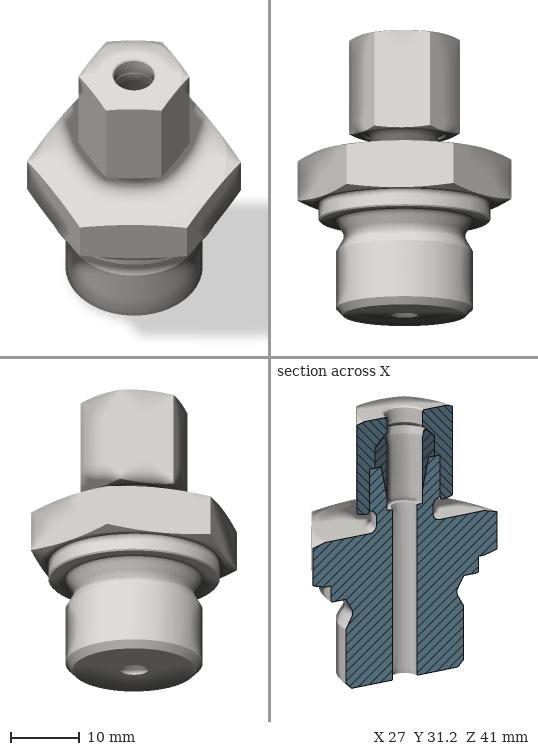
import cadquery as cq
import math


TOTAL_HEIGHT = 41.0
BODY_HEX_BOTTOM = 16.52
BODY_HEX_TOP = 23.5
NUT_BOTTOM = 26.53
BODY_TOP = 33.5

HEX_SIDES = 6
CORNER_TURN = 180 / HEX_SIDES
BODY_HEX_FLATS = 27.0
NUT_HEX_FLATS = 14.02
HEX_CHAMFER_ANGLE = 15.0
BODY_FACE_DIAMETER = 26.98
NUT_FACE_DIAMETER = 13.78

THREAD_DIAMETER = 20.0
THREAD_CHAMFER = 1.02
COLLAR_DIAMETER = 25.0
COLLAR_BOTTOM = 14.0
COLLAR_CHAMFER = 0.2
GROOVE_WIDTH = 4.65
GROOVE_FLANK_ANGLE = 30.0
GROOVE_RADIUS = 1.25

STUB_DIAMETER = 12.0
NECK_DIAMETER = 9.7
NECK_FILLET = 1.0
NECK_TOP = 26.9

BORE_DIAMETER = 4.0
TUBE_DIAMETER = 6.0
TUBE_SOCKET_DEPTH = 6.95
TUBE_ENTRY_CHAMFER = 0.2

SEAT_MOUTH_DIAMETER = 8.0
SEAT_HALF_ANGLE = 12.0
RING_DIAMETER = 10.0
RING_TOP = 37.9
RING_MOUTH_DIAMETER = 6.48
RING_TAPER_DEPTH = 1.02
NUT_BORE_BOTTOM = 38.55

thread_r = THREAD_DIAMETER / 2
collar_r = COLLAR_DIAMETER / 2
neck_r = NECK_DIAMETER / 2
stub_r = STUB_DIAMETER / 2
bore_r = BORE_DIAMETER / 2
tube_r = TUBE_DIAMETER / 2
ring_r = RING_DIAMETER / 2
ring_mouth_r = RING_MOUTH_DIAMETER / 2
seat_mouth_r = SEAT_MOUTH_DIAMETER / 2

stub_chamfer_top = NECK_TOP + stub_r - neck_r - NECK_FILLET

seat_bottom = BODY_TOP - (seat_mouth_r - tube_r) / math.tan(math.radians(SEAT_HALF_ANGLE))
socket_bottom = BODY_TOP - TUBE_SOCKET_DEPTH

shoulder_bottom = NUT_BORE_BOTTOM - (ring_r - tube_r)
ring_top_r = tube_r + NUT_BORE_BOTTOM - RING_TOP


def revolve_profile(profile):
    """Turn a closed (radius, height) profile about the Z axis."""
    return profile.close().revolve(360, (0, 0, 0), (0, 1, 0))


def chamfered_hex(flats, face_diameter, bottom, top):
    """Hexagonal prism whose corners are turned off by a cone at both ends."""
    corner_r = flats / math.sqrt(3)
    face_r = face_diameter / 2
    drop = (corner_r - face_r) * math.tan(math.radians(HEX_CHAMFER_ANGLE))
    prism = (
        cq.Workplane("XY", origin=(0, 0, bottom))
        .polygon(HEX_SIDES, 2 * corner_r)
        .extrude(top - bottom)
        .rotate((0, 0, 0), (0, 0, 1), CORNER_TURN)
    )
    envelope = revolve_profile(
        cq.Workplane("XZ")
        .moveTo(0, bottom)
        .lineTo(face_r, bottom)
        .lineTo(corner_r, bottom + drop)
        .lineTo(corner_r, top - drop)
        .lineTo(face_r, top)
        .lineTo(0, top)
    )
    return prism.intersect(envelope)


def make_screw_end():
    """Threaded end, undercut groove and sealing collar below the body hexagon."""
    flank = math.radians(GROOVE_FLANK_ANGLE)
    arc_half_height = GROOVE_RADIUS * math.sin(flank)
    flank_height = GROOVE_WIDTH / 2 - arc_half_height
    arc_end_r = thread_r - flank_height * math.tan(flank)
    groove_r = arc_end_r - GROOVE_RADIUS * (1 - math.cos(flank))
    groove_z = COLLAR_BOTTOM - GROOVE_WIDTH / 2
    return revolve_profile(
        cq.Workplane("XZ")
        .moveTo(0, 0)
        .lineTo(thread_r - THREAD_CHAMFER, 0)
        .lineTo(thread_r, THREAD_CHAMFER)
        .lineTo(thread_r, COLLAR_BOTTOM - GROOVE_WIDTH)
        .lineTo(arc_end_r, groove_z - arc_half_height)
        .threePointArc((groove_r, groove_z), (arc_end_r, groove_z + arc_half_height))
        .lineTo(thread_r, COLLAR_BOTTOM)
        .lineTo(collar_r - COLLAR_CHAMFER, COLLAR_BOTTOM)
        .lineTo(collar_r, COLLAR_BOTTOM + COLLAR_CHAMFER)
        .lineTo(collar_r, BODY_HEX_BOTTOM)
        .lineTo(0, BODY_HEX_BOTTOM)
    )


def make_stub():
    """Upper stub with a neck filleted at both ends, which runs up into the nut."""
    return revolve_profile(
        cq.Workplane("XZ")
        .moveTo(0, BODY_HEX_TOP)
        .lineTo(neck_r + NECK_FILLET, BODY_HEX_TOP)
        .radiusArc((neck_r, BODY_HEX_TOP + NECK_FILLET), NECK_FILLET)
        .lineTo(neck_r, NECK_TOP - NECK_FILLET)
        .radiusArc((neck_r + NECK_FILLET, NECK_TOP), NECK_FILLET)
        .lineTo(stub_r, stub_chamfer_top)
        .lineTo(stub_r, BODY_TOP)
        .lineTo(0, BODY_TOP)
    )


def make_body_passage():
    """Through bore, tube socket and conical ring seat."""
    return revolve_profile(
        cq.Workplane("XZ")
        .moveTo(0, 0)
        .lineTo(bore_r, 0)
        .lineTo(bore_r, socket_bottom)
        .lineTo(tube_r, socket_bottom)
        .lineTo(tube_r, seat_bottom)
        .lineTo(seat_mouth_r, BODY_TOP)
        .lineTo(0, BODY_TOP)
    )


def make_body():
    """Screw end, hexagon and stub as one solid, with the tube passage through it."""
    hexagon = chamfered_hex(BODY_HEX_FLATS, BODY_FACE_DIAMETER, BODY_HEX_BOTTOM, BODY_HEX_TOP)
    return make_screw_end().union(hexagon).union(make_stub()).cut(make_body_passage())


def make_nut():
    """Hexagonal union nut, bored for the stub, the ring and the tube."""
    hexagon = chamfered_hex(NUT_HEX_FLATS, NUT_FACE_DIAMETER, NUT_BOTTOM, TOTAL_HEIGHT)
    cavity = revolve_profile(
        cq.Workplane("XZ")
        .moveTo(0, NUT_BOTTOM)
        .lineTo(stub_r, NUT_BOTTOM)
        .lineTo(stub_r, BODY_TOP)
        .lineTo(ring_r, BODY_TOP)
        .lineTo(ring_r, shoulder_bottom)
        .lineTo(tube_r, NUT_BORE_BOTTOM)
        .lineTo(tube_r, TOTAL_HEIGHT - TUBE_ENTRY_CHAMFER)
        .lineTo(tube_r + TUBE_ENTRY_CHAMFER, TOTAL_HEIGHT)
        .lineTo(0, TOTAL_HEIGHT)
    )
    return hexagon.cut(cavity)


def make_cutting_ring():
    """Ring with a conical nose in the body seat, a shoulder under the nut and a tapered mouth."""
    return revolve_profile(
        cq.Workplane("XZ")
        .moveTo(tube_r, seat_bottom)
        .lineTo(seat_mouth_r, BODY_TOP)
        .lineTo(ring_r, BODY_TOP)
        .lineTo(ring_r, shoulder_bottom)
        .lineTo(ring_top_r, RING_TOP)
        .lineTo(ring_mouth_r, RING_TOP)
        .lineTo(tube_r, RING_TOP - RING_TAPER_DEPTH)
    )


body = make_body()
nut = make_nut()
cutting_ring = make_cutting_ring()

result = cq.Compound.makeCompound([body.val(), nut.val(), cutting_ring.val()])